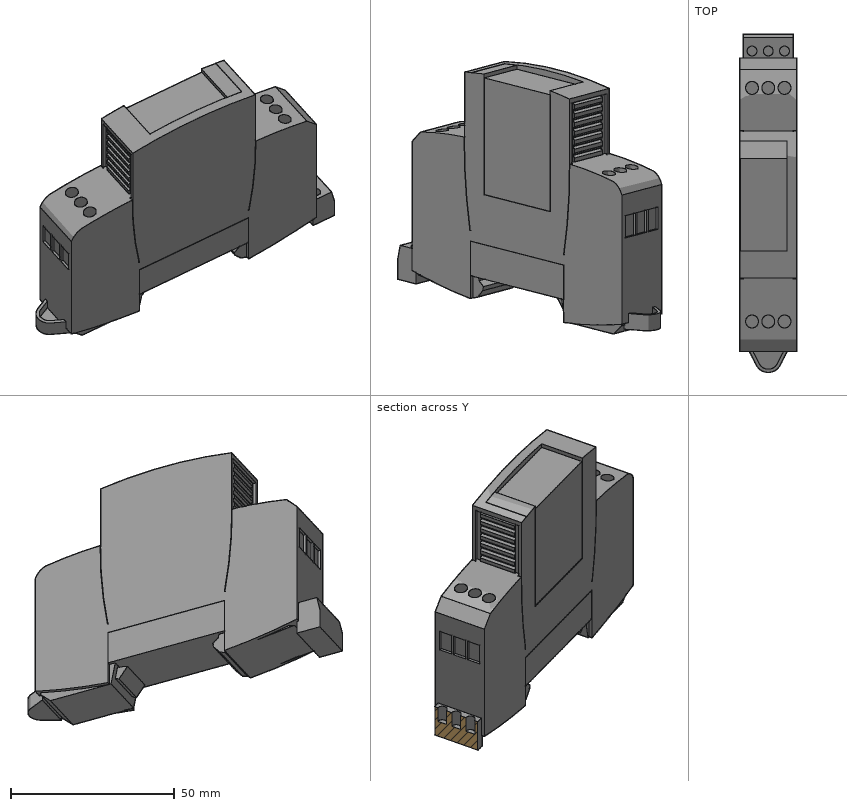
import cadquery as cq
import math


overall_length = 103.6

width = 17.5
half_width = width / 2
half_length = 45.0
module_half = 22.5
module_edge = 71.6
top = 73.4
shoulder = 51.0
shoulder_mid_z = 50.4
shoulder_drop = 49.0
corner_chamfer = 3.6
corner_bulge = 0.4
base_end = 4.4
base_mid_y = 32.1
base_mid = 1.8
base_foot = 0.2
rail_half = 20.0
rail_top = 7.5
rail_panel_top = 18.4
rail_panel_recess = 0.1

joint_mid = (22.0, 36.8)
joint_end = (20.0, 21.8)
joint_width = 0.2
joint_depth = 1.2

lid_half = 14.2
lid_edge_x = 5.7
lid_top = 71.3
lid_bottom = 34.3
lid_side_recess = 0.2
latch_end = 19.5
latch_recess = 0.1

window_width = 15.3
window_height = 19.1
window_depth = 0.9
slat_width = 12.2
slat_count = 7
slat_pitch = 2.8
slat_front = 1.2
slat_back = 2.6
slat_setback = 0.3
top_slat_drop = 1.6

terminal_pitch = 5.0
screw_diameter = 3.9
screw_y = 35.7
screw_depth = 6.2
wire_width = 4.2
wire_bottom = 31.5
wire_height = 7.0
wire_depth = 0.8

plug_width = 15.3
plug_end = 52.2
plug_inner = 44.3
plug_top = 11.0
plug_bevel = 1.0
plug_bevel_height = 4.6
plug_hole_diameter = 3.0
plug_hole_y = 47.0
plug_hole_depth = 5.2

hook_width = 15.3
tip_width = 11.8
fixed_hook_profile = [
    (43.5, 3.1),
    (19.7, base_foot),
    (17.9, 0.8),
    (15.7, 3.3),
    (15.4, 4.7),
    (17.3, 6.2),
    (17.6, rail_top),
    (25.9, rail_top),
]
foot_profile = [
    (-18.0, rail_top),
    (-19.5, base_foot),
    (-40.3, base_foot),
    (-43.7, 3.4),
    (-43.7, base_end),
    (-25.9, rail_top),
]
foot_tip_profile = [(-14.7, 6.2), (-17.6, 2.5), (-19.1, 3.1), (-19.1, 7.1)]

tab_root_y = foot_profile[3][0]
tab_root_half = 6.4
tab_tip_radius = 4.1
tab_tip_y = plug_end - overall_length
tab_bottom = 2.2
tab_top = 7.3
tab_floor = 4.4
tab_wall = 1.0


def extruded(profile, depth):
    """Extrude a closed Y-Z profile symmetrically about X = 0."""
    return profile.close().extrude(depth / 2, both=True)


def plate(points, depth):
    return extruded(cq.Workplane("YZ").polyline(points), depth)


def block(x_range, y_range, z_range):
    """Box given by its limits along each axis."""
    limits = (x_range, y_range, z_range)
    sizes = [high - low for low, high in limits]
    corner = tuple(low for low, high in limits)
    return cq.Workplane().box(*sizes, centered=False).translate(corner)


def at_both_ends(shape):
    return shape.union(shape.mirror("XZ"))


def housing():
    chamfer_y = half_length - corner_chamfer
    corner_z = shoulder_drop - corner_chamfer
    corner_mid = (
        -half_length + corner_chamfer / 2 - corner_bulge,
        corner_z + corner_chamfer / 2 + corner_bulge,
    )
    shoulder_mid = ((module_half + chamfer_y) / 2, shoulder_mid_z)
    profile = (
        cq.Workplane("YZ")
        .moveTo(-rail_half, base_foot)
        .lineTo(-rail_half, rail_top)
        .lineTo(rail_half, rail_top)
        .lineTo(rail_half, base_foot)
        .threePointArc((base_mid_y, base_mid), (half_length, base_end))
        .lineTo(half_length, corner_z)
        .lineTo(chamfer_y, shoulder_drop)
        .threePointArc(shoulder_mid, (module_half, shoulder))
        .lineTo(module_half, module_edge)
        .threePointArc((0, top), (-module_half, module_edge))
        .lineTo(-module_half, shoulder)
        .threePointArc((-shoulder_mid[0], shoulder_mid[1]), (-chamfer_y, shoulder_drop))
        .threePointArc(corner_mid, (-half_length, corner_z))
        .lineTo(-half_length, base_end)
        .threePointArc((-base_mid_y, base_mid), (-rail_half, base_foot))
    )
    return extruded(profile, width)


def rail_panel_recesses():
    """Shallow steps on both flanks above the rail opening."""
    recess = block(
        (-half_width, -half_width + rail_panel_recess),
        (-rail_half, rail_half),
        (rail_top, rail_panel_top),
    )
    return recess.union(recess.mirror("YZ"))


def joint_groove():
    """Narrow curved groove from the shoulder down both flanks on the +Y side."""
    profile = (
        cq.Workplane("YZ")
        .moveTo(module_half, shoulder)
        .threePointArc(joint_mid, joint_end)
        .lineTo(joint_end[0] + joint_width, joint_end[1])
        .threePointArc((joint_mid[0] + joint_width, joint_mid[1]), (module_half + joint_width, shoulder))
    )
    core_width = width - 2 * joint_depth
    return extruded(profile, width).cut(
        block((-core_width / 2, core_width / 2), (0, half_length), (0, top))
    )


def lid_recess():
    """Pocket above the lid and the step down to its side face."""
    lid_range = (-lid_half, lid_half)
    pocket = block((-half_width, lid_edge_x), lid_range, (lid_top, top))
    side = block((-half_width, -half_width + lid_side_recess), lid_range, (lid_bottom, lid_top))
    return pocket.union(side)


def latch_strip(body):
    """Thin layer of the curved top beside the lid, as a cutting tool."""
    column = block((-half_width, lid_edge_x), (lid_half, latch_end), (lid_top, top))
    return column.cut(body.translate((0, 0, -latch_recess)))


def window():
    return block(
        (-window_width / 2, window_width / 2),
        (-module_half, -module_half + window_depth),
        (shoulder, shoulder + window_height),
    )


def slats():
    """Bevelled slats standing on the window floor, trimmed to the window."""
    front_y = -module_half + slat_setback
    back_y = -module_half + window_depth
    top_centre = shoulder + window_height - top_slat_drop
    stack = cq.Workplane()
    for index in range(slat_count):
        centre = top_centre - index * slat_pitch
        slat = plate(
            [
                (front_y, centre - slat_front / 2),
                (back_y, centre - slat_back / 2),
                (back_y, centre + slat_back / 2),
                (front_y, centre + slat_front / 2),
            ],
            slat_width,
        )
        stack = stack.add(slat)
    return stack.combine().intersect(window())


def vertical_holes(diameter, y, start, depth):
    """Row of three blind holes drilled down from the start height."""
    places = [(index * terminal_pitch, y) for index in (-1, 0, 1)]
    bottom = cq.Workplane().workplane(offset=start - depth)
    return bottom.pushPoints(places).circle(diameter / 2).extrude(depth)


def wire_pockets():
    row = cq.Workplane()
    for index in (-1, 0, 1):
        centre = index * terminal_pitch
        pocket = block(
            (centre - wire_width / 2, centre + wire_width / 2),
            (-half_length, -half_length + wire_depth),
            (wire_bottom, wire_bottom + wire_height),
        )
        row = row.add(pocket)
    return row.combine()


def plug():
    body = plate(
        [
            (plug_inner, 0),
            (plug_end, 0),
            (plug_end, plug_top - plug_bevel_height),
            (plug_end - plug_bevel, plug_top),
            (plug_inner, plug_top),
        ],
        plug_width,
    )
    return body.cut(vertical_holes(plug_hole_diameter, plug_hole_y, plug_top, plug_hole_depth))


def fixed_hook():
    """Rail hook on the +Y side with its plate under the housing."""
    return plate(fixed_hook_profile, hook_width)


def foot_slider():
    """Sliding foot on the -Y side with a narrower rail hook tip."""
    return plate(foot_profile, hook_width).union(plate(foot_tip_profile, tip_width))


def pull_tab():
    """Round-ended cup with an open top."""
    centre_y = tab_tip_y + tab_tip_radius
    root_rise = tab_root_y - centre_y
    root_distance = math.hypot(tab_root_half, root_rise)
    touch_angle = math.atan2(root_rise, tab_root_half) - math.acos(tab_tip_radius / root_distance)
    touch_half = tab_tip_radius * math.cos(touch_angle)
    touch_y = centre_y + tab_tip_radius * math.sin(touch_angle)
    outline = (
        cq.Workplane()
        .moveTo(-tab_root_half, tab_root_y)
        .lineTo(-touch_half, touch_y)
        .threePointArc((0, tab_tip_y), (touch_half, touch_y))
        .lineTo(tab_root_half, tab_root_y)
        .close()
    )
    solid = outline.extrude(tab_top - tab_bottom)
    rim = solid.faces(">Z").wires().toPending()
    hollow = rim.offset2D(-tab_wall).extrude(tab_floor - tab_top, combine=False)
    return solid.cut(hollow).translate((0, 0, tab_bottom))


shell = housing()
result = shell.cut(latch_strip(shell)).cut(lid_recess()).cut(rail_panel_recesses())
result = result.cut(at_both_ends(window())).union(at_both_ends(slats()))
result = result.cut(at_both_ends(vertical_holes(screw_diameter, screw_y, shoulder, screw_depth)))
result = result.cut(at_both_ends(joint_groove()))
result = result.cut(at_both_ends(wire_pockets()))
result = result.union(plug()).union(fixed_hook()).union(foot_slider()).union(pull_tab())